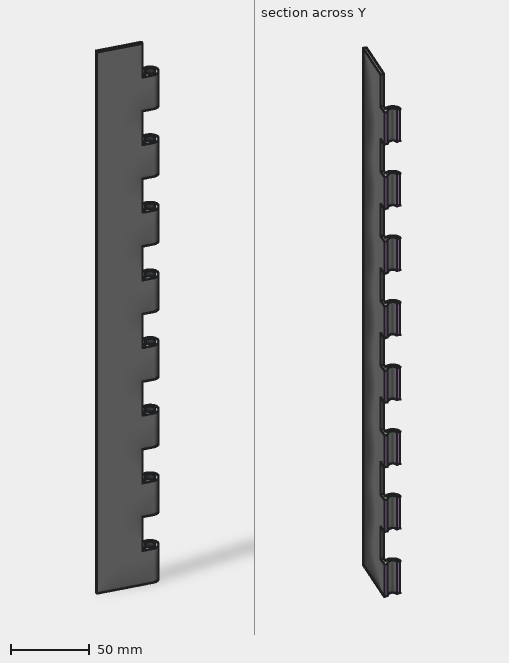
import cadquery as cq

length = 406.5
total_width = 43.5
knuckle_diameter = 11.0
pin_diameter = 6.5
knuckle_count = 8
edge_clearance = 1.5

knuckle_radius = knuckle_diameter / 2
sheet_thickness = (knuckle_diameter - pin_diameter) / 2
pitch = length / knuckle_count
knuckle_length = pitch / 2
leaf_end = knuckle_radius - total_width
leaf_edge = -knuckle_radius - edge_clearance
leaf_left = knuckle_radius - sheet_thickness


def sheet(y_start, y_end, height):
    """Flat sheet whose +X face is tangent to the knuckles."""
    return (
        cq.Workplane("XY")
        .box(sheet_thickness, y_end - y_start, height, centered=False)
        .translate((leaf_left, y_start, 0))
    )


def knuckle():
    """Rolled barrel around the Z axis, with the strip that joins it to the leaf."""
    barrel = cq.Workplane("XY").circle(knuckle_radius).extrude(knuckle_length)
    pin_hole = cq.Workplane("XY").circle(pin_diameter / 2).extrude(knuckle_length)
    return barrel.union(sheet(leaf_edge, 0, knuckle_length)).cut(pin_hole)


result = sheet(leaf_end, leaf_edge, length)
for index in range(knuckle_count):
    result = result.union(knuckle().translate((0, 0, index * pitch)))